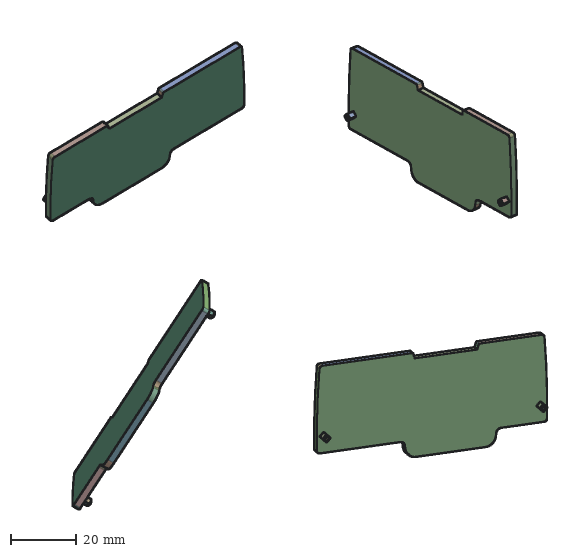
import cadquery as cq

plate_thickness = 2.3
plate_length = 76.0
plate_height = 34.05
top_length = 74.1
shoulder_height = 5.55
plate_corner_radius = 1.0
half_length = plate_length / 2
half_top = top_length / 2

tab_bottom_width = 29.1
tab_root_width = 30.5
tab_center_y = -6.15
tab_inner_radius = 1.5
tab_outer_radius = 3.5
tab_bottom_low_y = tab_center_y - tab_bottom_width / 2
tab_bottom_high_y = tab_center_y + tab_bottom_width / 2
tab_root_low_y = tab_center_y - tab_root_width / 2
tab_root_high_y = tab_center_y + tab_root_width / 2

notch_floor_width = 20.5
notch_mouth_width = 21.65
notch_depth = 1.8
notch_center_y = -4.6
notch_lip_radius = 0.5
notch_floor_z = plate_height - notch_depth

pin_length = 2.8
pin_diagonal = 2.6
pin_tip_chamfer = 0.4
pin_spacing = 71.5
pin_height = 11.1

end_bulge = half_length - half_top
end_rise = plate_height - pin_height
end_radius = (end_rise**2 + end_bulge**2) / (2 * end_bulge)
end_drop = pin_height - shoulder_height
bottom_inset = end_radius - (end_radius**2 - end_drop**2) ** 0.5
half_shoulder = half_length - bottom_inset


def round_edges(body, points, radius):
    """Round the edges along X that pass through the given (y, z) points."""
    reach = 0.1
    for y, z in points:
        box = cq.selectors.BoxSelector(
            (-reach, y - reach, z - reach),
            (plate_thickness + reach, y + reach, z + reach),
        )
        body = body.edges("|X").edges(box).fillet(radius)
    return body


def make_plate():
    floor_low_y = notch_center_y - notch_floor_width / 2
    floor_high_y = notch_center_y + notch_floor_width / 2
    mouth_low_y = notch_center_y - notch_mouth_width / 2
    mouth_high_y = notch_center_y + notch_mouth_width / 2
    plate = (
        cq.Workplane("YZ")
        .moveTo(tab_bottom_low_y, 0)
        .lineTo(tab_bottom_high_y, 0)
        .lineTo(tab_root_high_y, shoulder_height)
        .lineTo(half_shoulder, shoulder_height)
        .threePointArc((half_length, pin_height), (half_top, plate_height))
        .lineTo(mouth_high_y, plate_height)
        .lineTo(floor_high_y, notch_floor_z)
        .lineTo(floor_low_y, notch_floor_z)
        .lineTo(mouth_low_y, plate_height)
        .lineTo(-half_top, plate_height)
        .threePointArc((-half_length, pin_height), (-half_shoulder, shoulder_height))
        .lineTo(tab_root_low_y, shoulder_height)
        .close()
        .extrude(plate_thickness)
    )
    outer_corners = [
        (side * half, z)
        for side in (-1, 1)
        for half, z in ((half_shoulder, shoulder_height), (half_top, plate_height))
    ]
    tab_roots = [(y, shoulder_height) for y in (tab_root_low_y, tab_root_high_y)]
    tab_corners = [(y, 0) for y in (tab_bottom_low_y, tab_bottom_high_y)]
    plate = round_edges(plate, outer_corners, plate_corner_radius)
    plate = round_edges(plate, tab_roots, tab_inner_radius)
    plate = round_edges(plate, tab_corners, tab_outer_radius)
    notch_lips = [(y, plate_height) for y in (mouth_low_y, mouth_high_y)]
    return round_edges(plate, notch_lips, notch_lip_radius)


def make_pin(center_y):
    half_diagonal = pin_diagonal / 2
    return (
        cq.Workplane("YZ")
        .center(center_y, pin_height)
        .polyline([(0, -half_diagonal), (half_diagonal, 0), (0, half_diagonal), (-half_diagonal, 0)])
        .close()
        .extrude(-pin_length)
        .faces("<X")
        .chamfer(pin_tip_chamfer)
    )


result = make_plate()
for pin_side in (-1, 1):
    result = result.union(make_pin(pin_side * pin_spacing / 2))